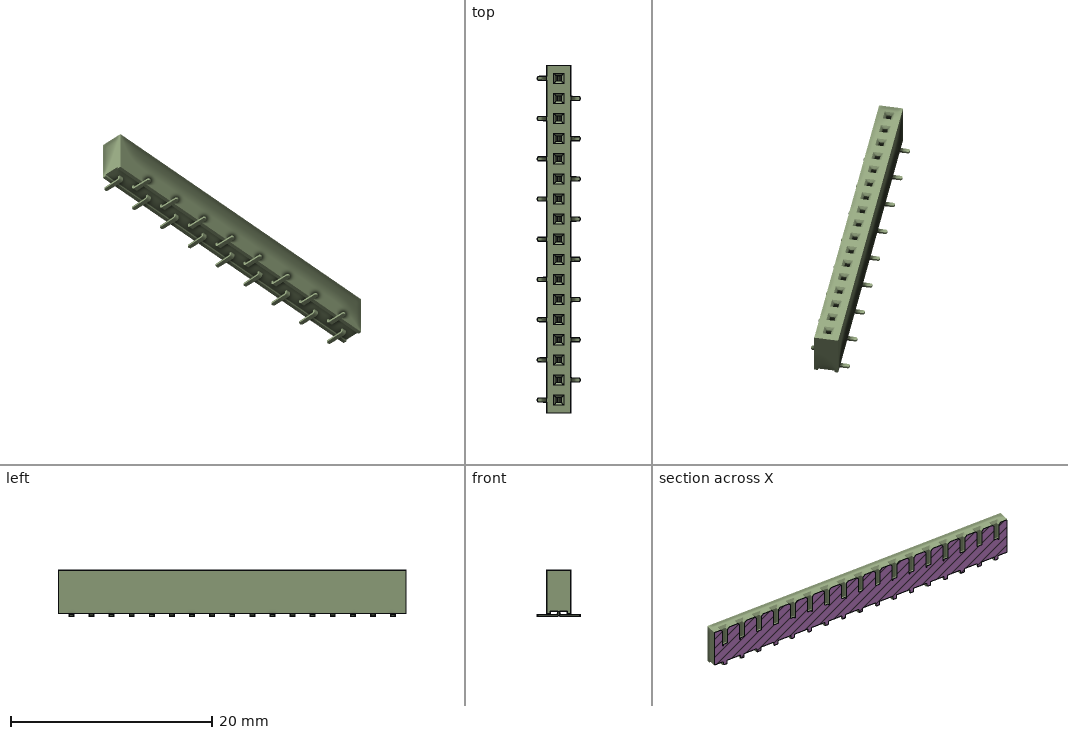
import cadquery as cq

body_length = 34.6
body_width = 2.42
lead_span = 4.3
total_height = 4.6

standoff = 0.28
channel_width = 1.65
channel_depth = 0.2

pin_count = 17
length_allowance = 0.6
pin_pitch = (body_length - length_allowance) / pin_count
lead_thickness = 0.2
stem_width = 0.5
tip_width = 0.4
bend_inner_radius = 0.07
tip_bulge = 0.1

mouth_size = 1.0
bore_size = 0.52
funnel_depth = 0.25
bore_depth = 2.08
contact_tip_height = 0.17

bore_floor = total_height - bore_depth
bend_outer_radius = bend_inner_radius + lead_thickness
pin_positions = [(i - (pin_count - 1) / 2) * pin_pitch for i in range(pin_count)]


def make_housing():
    """Plain bar with a shallow channel along its underside, leaving two long feet."""
    housing = cq.Workplane("XY").workplane(offset=standoff).rect(body_width, body_length)
    housing = housing.extrude(total_height - standoff)
    channel = cq.Workplane("XY").workplane(offset=standoff).rect(channel_width, body_length)
    return housing.cut(channel.extrude(channel_depth))


def make_socket(y):
    """Square bore with a tapered lead-in, as a cutting solid."""
    funnel = (
        cq.Workplane("XY")
        .workplane(offset=total_height)
        .center(0, y)
        .rect(mouth_size, mouth_size)
        .workplane(offset=-funnel_depth)
        .rect(bore_size, bore_size)
        .loft(ruled=True)
    )
    bore = cq.Workplane("XY").workplane(offset=bore_floor).center(0, y).rect(bore_size, bore_size)
    return funnel.union(bore.extrude(bore_depth - funnel_depth))


def make_contact(y, side):
    """L-shaped contact: upright stem on the centre line, foot toward side (-1 or +1 in X)."""
    half_thickness = lead_thickness / 2
    stem_top = bore_floor + contact_tip_height
    tip = lead_span / 2
    blade = (
        cq.Workplane("XZ")
        .moveTo(-half_thickness, stem_top)
        .lineTo(half_thickness, stem_top)
        .lineTo(half_thickness, bend_outer_radius)
        .radiusArc((half_thickness + bend_inner_radius, lead_thickness), -bend_inner_radius)
        .lineTo(tip, lead_thickness)
        .lineTo(tip, 0)
        .lineTo(bend_outer_radius - half_thickness, 0)
        .radiusArc((-half_thickness, bend_outer_radius), bend_outer_radius)
        .close()
        .extrude(stem_width / 2, both=True)
    )
    outline = (
        cq.Workplane("XY")
        .moveTo(-half_thickness, -stem_width / 2)
        .lineTo(half_thickness, -stem_width / 2)
        .lineTo(tip - tip_bulge, -tip_width / 2)
        .threePointArc((tip, 0), (tip - tip_bulge, tip_width / 2))
        .lineTo(half_thickness, stem_width / 2)
        .lineTo(-half_thickness, stem_width / 2)
        .close()
        .extrude(total_height)
    )
    contact = blade.intersect(outline)
    if side < 0:
        contact = contact.mirror("YZ")
    return contact.translate((0, y, 0))


result = make_housing()
for y in pin_positions:
    result = result.cut(make_socket(y))
for index, y in enumerate(pin_positions):
    side = -1 if index % 2 == 0 else 1
    result = result.union(make_contact(y, side))